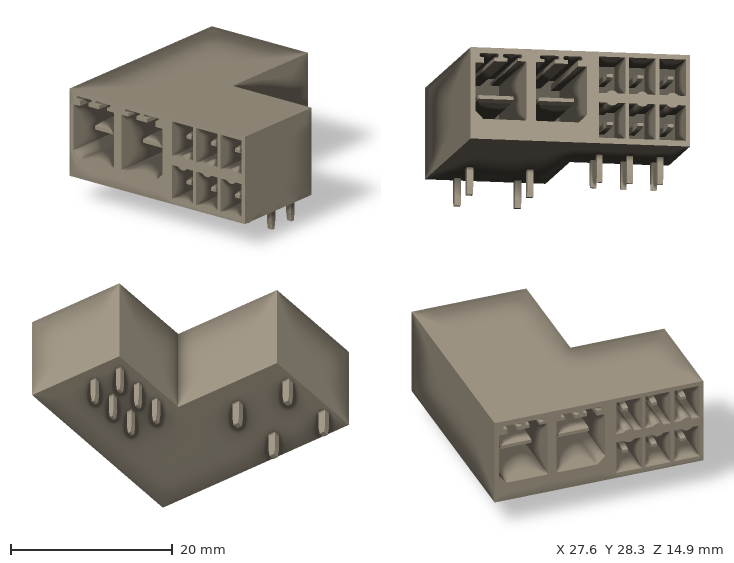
import cadquery as cq


HOUSING_WIDTH = 27.65
HOUSING_HEIGHT = 11.5
POWER_SIDE_WIDTH = 15.2
POWER_SIDE_DEPTH = 28.3
SIGNAL_SIDE_DEPTH = 13.27

POWER_PITCH = 7.6
POWER_X = 3.82
POWER_MIRROR_X = POWER_X + POWER_PITCH / 2
POWER_POCKET_WIDTH = 6.42
POWER_POCKET_DEPTH = 16.98
POWER_FLOOR_Z = 2.52
OUTER_LIP_Z = 9.57
INNER_LIP_Z = 9.93
OUTER_CHAMFER = 1.0
INNER_FILLET = 0.2

SLOT_OFFSET = 1.47
SLOT_STEM_WIDTH = 1.3
SLOT_HEAD_WIDTH = 2.43
SLOT_BOTTOM_Z = 10.3
SLOT_TOP_Z = 10.78
RAIL_BOTTOM_Z = 9.82

SIGNAL_COUNT = 3
SIGNAL_PITCH = 3.82
SIGNAL_X = 17.83
SIGNAL_POCKET_WIDTH = 3.35
SIGNAL_POCKET_DEPTH = 6.8
UPPER_POCKET_Z = (6.35, 10.9)
LOWER_POCKET_Z = (0.7, 5.15)
BUMP_WIDTH = 1.4
BUMP_HEIGHT = 0.35

TINE_LENGTH = 3.42
TINE_BOTTOM_Z = -TINE_LENGTH

BLADE_WIDTH = 4.45
BLADE_THICKNESS = 0.8
BLADE_Z = 5.83
BLADE_TIP_Y = 3.03
BLADE_TIP_LENGTH = 1.7
BLADE_TIP_THICKNESS = 0.45
POWER_TINE_X_SIZE = 0.8
POWER_TINE_Y_SIZE = 1.0
POWER_TINE_TIP_LENGTH = 0.95
POWER_TINE_TIP_SIZE = 0.68
POWER_BACK_TINE_Y = 27.22
POWER_TINE_PITCH = POWER_PITCH

SIGNAL_PIN_SIZE = 0.74
SIGNAL_ARM_HEIGHT = 0.8
SIGNAL_TIP_Y = 1.27
SIGNAL_TIP_LENGTH = 1.08
SIGNAL_TIP_SIZE = 0.4
UPPER_PIN_Z = 8.77
LOWER_PIN_Z = 2.77
LOWER_TINE_Y = 7.98
UPPER_TINE_Y = LOWER_TINE_Y + SIGNAL_PITCH


def from_face(depth, outline):
    """Extrude an outline drawn in (X, Z) from the connector face to the given depth."""
    return outline.extrude(-depth)


def tapered_bar(x, x_size, y_z_points):
    """Bar with a side outline given as (Y, Z) points and a constant size along X, centred on x."""
    plane = cq.Workplane("YZ", origin=(x - x_size / 2, 0, 0))
    return plane.polyline(y_z_points).close().extrude(x_size)


def horizontal_arm(x, x_size, z, z_size, tip_y, tip_length, tip_size, back_y):
    """Contact arm that points to the face and narrows in height at its tip."""
    return tapered_bar(x, x_size, [
        (tip_y, z - tip_size / 2),
        (tip_y + tip_length, z - z_size / 2),
        (back_y, z - z_size / 2),
        (back_y, z + z_size / 2),
        (tip_y + tip_length, z + z_size / 2),
        (tip_y, z + tip_size / 2),
    ])


def tine(x, x_size, y, y_size, top_z, tip_length, tip_size):
    """Solder tine that runs down through the housing underside and narrows in depth at its tip."""
    shoulder_z = TINE_BOTTOM_Z + tip_length
    return tapered_bar(x, x_size, [
        (y - tip_size / 2, TINE_BOTTOM_Z),
        (y + tip_size / 2, TINE_BOTTOM_Z),
        (y + y_size / 2, shoulder_z),
        (y + y_size / 2, top_z),
        (y - y_size / 2, top_z),
        (y - y_size / 2, shoulder_z),
    ])


def power_contact(x):
    """Wide blade with two solder tines in line behind its socket."""
    back_y = POWER_BACK_TINE_Y + POWER_TINE_Y_SIZE / 2
    contact = horizontal_arm(
        x, BLADE_WIDTH, BLADE_Z, BLADE_THICKNESS, BLADE_TIP_Y, BLADE_TIP_LENGTH, BLADE_TIP_THICKNESS, back_y
    )
    for y in (POWER_BACK_TINE_Y - POWER_TINE_PITCH, POWER_BACK_TINE_Y):
        contact = contact.union(tine(
            x, POWER_TINE_X_SIZE, y, POWER_TINE_Y_SIZE, BLADE_Z, POWER_TINE_TIP_LENGTH, POWER_TINE_TIP_SIZE
        ))
    return contact


def signal_contact(x, z, tine_y):
    """Right-angle pin with one solder tine."""
    arm = horizontal_arm(
        x, SIGNAL_PIN_SIZE, z, SIGNAL_ARM_HEIGHT, SIGNAL_TIP_Y, SIGNAL_TIP_LENGTH, SIGNAL_TIP_SIZE,
        tine_y + SIGNAL_PIN_SIZE / 2,
    )
    return arm.union(tine(
        x, SIGNAL_PIN_SIZE, tine_y, SIGNAL_PIN_SIZE, z + SIGNAL_ARM_HEIGHT / 2,
        SIGNAL_TIP_LENGTH, SIGNAL_TIP_SIZE,
    ))


def face_box(x_min, x_max, z_min, z_max, depth):
    """Box that goes back from the connector face."""
    return cq.Workplane("XY").box(
        x_max - x_min, depth, z_max - z_min, centered=False
    ).translate((x_min, 0, z_min))


def coding_slot(x):
    """T-slot with a round-ended head and a stem that opens into the socket below."""
    head_height = SLOT_TOP_Z - SLOT_BOTTOM_Z
    head = from_face(
        POWER_POCKET_DEPTH,
        cq.Workplane("XZ").center(x, SLOT_BOTTOM_Z + head_height / 2).slot2D(SLOT_HEAD_WIDTH, head_height),
    )
    stem = face_box(
        x - SLOT_STEM_WIDTH / 2, x + SLOT_STEM_WIDTH / 2, OUTER_LIP_Z, SLOT_BOTTOM_Z + head_height / 2,
        POWER_POCKET_DEPTH,
    )
    return head.union(stem)


def power_pocket():
    """Left power socket: chamfered outer floor corner, rounded inner corners and two coding slots."""
    outer_x = POWER_X - POWER_POCKET_WIDTH / 2
    inner_x = POWER_X + POWER_POCKET_WIDTH / 2
    outer_slot_x = POWER_X - SLOT_OFFSET
    inner_slot_x = POWER_X + SLOT_OFFSET
    rail_left = outer_slot_x + SLOT_STEM_WIDTH / 2
    rail_right = inner_slot_x - SLOT_STEM_WIDTH / 2

    pocket = face_box(outer_x, inner_x, POWER_FLOOR_Z, INNER_LIP_Z, POWER_POCKET_DEPTH)
    pocket = pocket.edges("|Y and >X").fillet(INNER_FILLET)
    pocket = pocket.edges("|Y and <X and <Z").chamfer(OUTER_CHAMFER)
    outer_lip = face_box(outer_x, outer_slot_x, OUTER_LIP_Z, INNER_LIP_Z, POWER_POCKET_DEPTH)
    rail = face_box(rail_left, rail_right, RAIL_BOTTOM_Z, INNER_LIP_Z, POWER_POCKET_DEPTH)
    pocket = pocket.cut(outer_lip).union(coding_slot(outer_slot_x)).union(coding_slot(inner_slot_x))
    return pocket.cut(rail)


def signal_pocket(x, z_range, bump_z, bump_direction):
    """Signal socket with a rounded rib along the wall at bump_z, rising in bump_direction."""
    half_width = SIGNAL_POCKET_WIDTH / 2
    pocket = face_box(x - half_width, x + half_width, *z_range, SIGNAL_POCKET_DEPTH)
    bump = from_face(
        SIGNAL_POCKET_DEPTH,
        cq.Workplane("XZ")
        .moveTo(x - BUMP_WIDTH / 2, bump_z)
        .threePointArc((x, bump_z + bump_direction * BUMP_HEIGHT), (x + BUMP_WIDTH / 2, bump_z))
        .close(),
    )
    return pocket.cut(bump)


def housing_block():
    """L-shaped housing without its sockets."""
    power_side = face_box(0, POWER_SIDE_WIDTH, 0, HOUSING_HEIGHT, POWER_SIDE_DEPTH)
    signal_side = face_box(0, HOUSING_WIDTH, 0, HOUSING_HEIGHT, SIGNAL_SIDE_DEPTH)
    return power_side.union(signal_side)


signal_xs = [SIGNAL_X + i * SIGNAL_PITCH for i in range(SIGNAL_COUNT)]

power_contacts = [power_contact(x) for x in (POWER_X, POWER_X + POWER_PITCH)]
upper_contacts = [signal_contact(x, UPPER_PIN_Z, UPPER_TINE_Y) for x in signal_xs]
lower_contacts = [signal_contact(x, LOWER_PIN_Z, LOWER_TINE_Y) for x in signal_xs]
contacts = power_contacts + upper_contacts + lower_contacts

left_power_pocket = power_pocket()
right_power_pocket = left_power_pocket.mirror("YZ", (POWER_MIRROR_X, 0, 0))
housing = housing_block().cut(left_power_pocket).cut(right_power_pocket)
for x in signal_xs:
    housing = housing.cut(signal_pocket(x, UPPER_POCKET_Z, UPPER_POCKET_Z[0], 1))
    housing = housing.cut(signal_pocket(x, LOWER_POCKET_Z, LOWER_POCKET_Z[1], -1))
for contact in contacts:
    housing = housing.cut(contact)

result = cq.Compound.makeCompound([housing.val(), *[contact.val() for contact in contacts]])